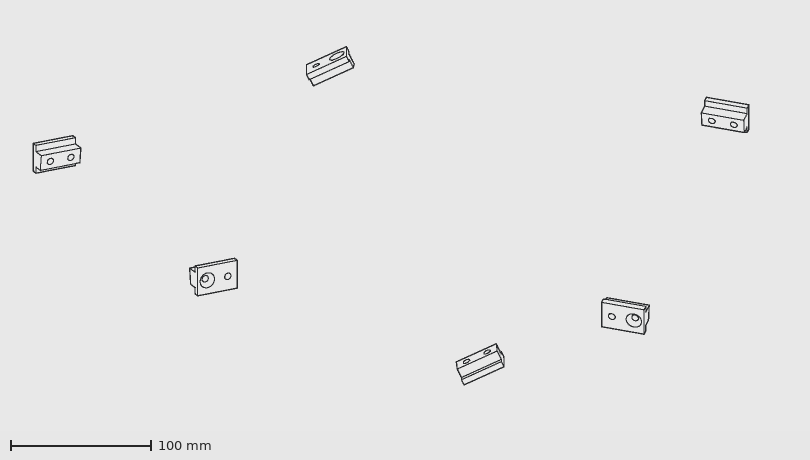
import cadquery as cq

span = 259.7
length = 31.7
height = 21.5

plate_thickness = 4.5
jaw_depth = 13.0
rib_height = 12.0
rib_taper = 1.5
rib_face_sag = 0.1

hole_diameter = 5.0
hole_spacing = 16.4
hole_drop = 0.15
countersink_diameter = 11.5
countersink_angle = 90.0


def jaw_blank():
    """T-shaped bar along Y, with its plate's outer face at the -X end of the span."""
    outer = -span / 2
    plate_inner = outer + plate_thickness
    rib_tip = outer + jaw_depth
    plate_top = height / 2
    rib_top = rib_height / 2
    hollow_point = (rib_tip - rib_taper / 2 - rib_face_sag, 0)
    section = (
        cq.Workplane("XZ")
        .moveTo(outer, -plate_top)
        .lineTo(plate_inner, -plate_top)
        .lineTo(plate_inner, -rib_top)
        .lineTo(rib_tip - rib_taper, -rib_top)
        .threePointArc(hollow_point, (rib_tip, rib_top))
        .lineTo(plate_inner, rib_top)
        .lineTo(plate_inner, plate_top)
        .lineTo(outer, plate_top)
        .close()
    )
    return section.extrude(length / 2, both=True)


def drill_holes(blank):
    """One plain through hole at +Y and one countersunk hole at -Y, both along X."""
    outer_face = cq.Plane(origin=(-span / 2, 0, 0), xDir=(0, -1, 0), normal=(-1, 0, 0))
    plain = blank.copyWorkplane(cq.Workplane(outer_face)).center(-hole_spacing / 2, -hole_drop).hole(hole_diameter)
    countersunk = plain.copyWorkplane(cq.Workplane(outer_face)).center(hole_spacing / 2, -hole_drop)
    return countersunk.cskHole(hole_diameter, countersink_diameter, countersink_angle)


left_jaw = drill_holes(jaw_blank())
right_jaw = left_jaw.mirror("YZ")

result = cq.Compound.makeCompound([left_jaw.val(), right_jaw.val()])